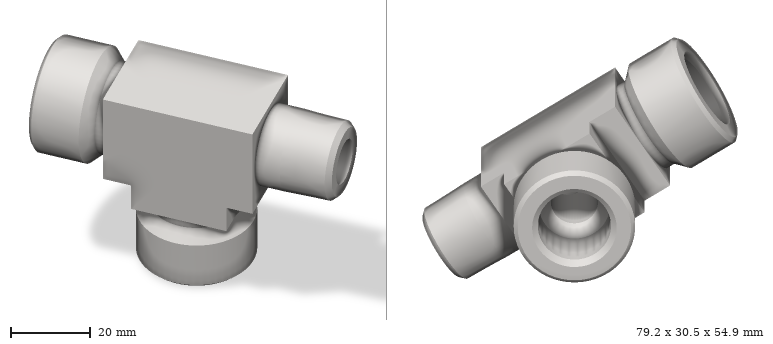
import cadquery as cq

body_inlet_reach = 20.4
body_outlet_reach = 19.7
body_width = 25.5
branch_reach = 20.3
run_reach = 39.6
overall_height = 54.85

collar_diameter = 30.5
collar_radius = collar_diameter / 2
branch_end_reach = overall_height - collar_radius
collar_chamfer = 1.0
collar_length = 13.7
cone_end = 16.9
neck_radius = 12.1

spigot_radius = 10.7
spigot_tip_radius = 10.4
spigot_straight = 6.6
spigot_chamfer_length = 1.4
spigot_face_radius = 9.0

mouth_radius = 10.6
mouth_depth = 1.4
socket_radius = 9.2
socket_bottom_radius = 8.9
socket_depth = 14.3
passage_radius = 5.95
socket_cone_length = socket_bottom_radius - passage_radius


def revolve_x(profile):
    """Revolve a closed (x, radius) profile about the X axis."""
    return cq.Workplane("XY").polyline(profile).close().revolve(360, (0, 0, 0), (1, 0, 0))


def threaded_end(reach):
    """Collar, cone and neck running from x = -reach to the axis crossing."""
    face = -reach
    return revolve_x([
        (face, 0),
        (face, collar_radius - collar_chamfer),
        (face + collar_chamfer, collar_radius),
        (face + collar_length, collar_radius),
        (face + cone_end, neck_radius),
        (0, neck_radius),
        (0, 0),
    ])


def socket(reach):
    """Chamfered, slightly tapered socket leading to the central passage."""
    face = -reach
    return revolve_x([
        (face, 0),
        (face, mouth_radius),
        (face + mouth_depth, socket_radius),
        (face + socket_depth, socket_bottom_radius),
        (face + socket_depth + socket_cone_length, passage_radius),
        (0, passage_radius),
        (0, 0),
    ])


def to_branch(shape):
    """Turn a shape lying along -X so that it lies along -Z."""
    return shape.rotate((0, 0, 0), (0, 1, 0), -90)


def male_end():
    """Spigot with a straight root, tapered thread and chamfered tip."""
    root = body_outlet_reach
    return revolve_x([
        (0, 0),
        (0, spigot_radius),
        (root + spigot_straight, spigot_radius),
        (run_reach - spigot_chamfer_length, spigot_tip_radius),
        (run_reach, spigot_face_radius),
        (run_reach, 0),
    ])


run_block = (
    cq.Workplane("YZ", origin=(-body_inlet_reach, 0, 0))
    .rect(body_width, body_width)
    .extrude(body_inlet_reach + body_outlet_reach)
)
branch_block = cq.Workplane("XY").rect(body_width, body_width).extrude(-branch_reach)
body = run_block.union(branch_block)

body = body.union(threaded_end(run_reach)).union(male_end())
body = body.union(to_branch(threaded_end(branch_end_reach)))

outlet_passage = cq.Workplane("YZ").circle(passage_radius).extrude(run_reach)
result = body.cut(socket(run_reach)).cut(outlet_passage)
result = result.cut(to_branch(socket(branch_end_reach)))